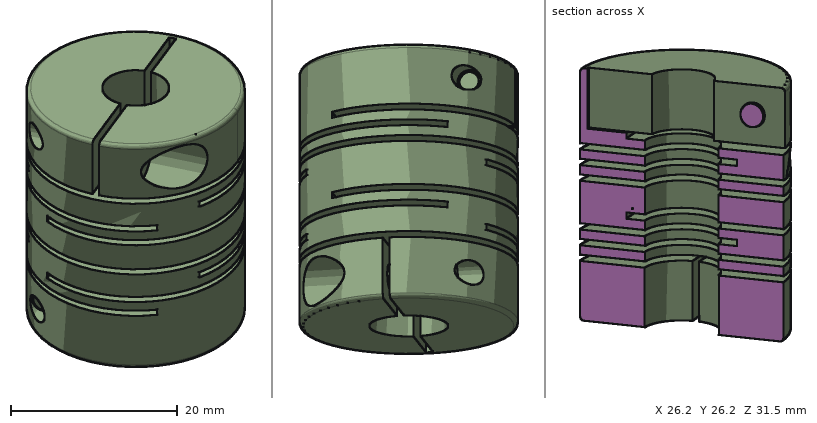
import cadquery as cq

length = 31.5
outer_diameter = 26.2
outer_radius = outer_diameter / 2
rim_fillet = 0.5

upper_bore_diameter = 8.0
lower_bore_diameter = 9.45

slit_width = 0.72
slit_reach = 7.1
inner_slit_spacing = 4.13
inner_slit_offset = inner_slit_spacing / 2
slit_pitch = 1.95
slits_per_half = 4
upper_slit_entries = ["+X", "-X", "+Y", "-Y"]
lower_slit_entries = ["-Y", "+Y", "+X", "-X"]

outer_slit_offset = inner_slit_offset + (slits_per_half - 1) * slit_pitch
hub_length = length / 2 - outer_slit_offset - slit_width / 2
upper_hub_base = length - hub_length
clamp_slot_width = 0.85
clamp_slot_end = 12.1

screw_offset = 9.0
screw_end_distance = 3.7
screw_z = length - screw_end_distance
screw_diameter = 3.0
head_bore_diameter = 5.9
head_bore_floor = 4.4
screw_tip_distance = 7.65
screw_tip_chamfer = 0.3

entry_turn = {"-Y": 0, "+X": 90, "+Y": 180, "-X": 270}


def turned(shape, degrees):
    return shape.rotate((0, 0, 0), (0, 0, 1), degrees)


def slot_from_minus_y(width, height, end, base_z):
    """Block entering from outside the -Y side and stopping at Y = end."""
    start = -length
    block = cq.Workplane("XY").box(width, end - start, height, centered=(True, False, False))
    return block.translate((0, start, base_z))


def flexing_slit(entry, centre_z):
    cutter = slot_from_minus_y(length, slit_width, slit_reach, centre_z - slit_width / 2)
    return turned(cutter, entry_turn[entry])


def rod_along_x(diameter, start, end, centre_z):
    """Cylinder on the screw axis, between two X positions on the -Y side."""
    profile = cq.Workplane("YZ", origin=(start, -screw_offset, centre_z)).circle(diameter / 2)
    return profile.extrude(end - start)


def to_lower_hub(shape):
    """Half turn about the horizontal X = Y line at mid-length."""
    return shape.rotate((0, 0, length / 2), (0.3, 0.3, length / 2), 180)


def clamp_cutters():
    """Slot open toward -Y, head bore and tip hole of the upper hub."""
    slot = slot_from_minus_y(clamp_slot_width, hub_length, clamp_slot_end, upper_hub_base)
    head_bore = rod_along_x(head_bore_diameter, head_bore_floor, outer_radius, screw_z)
    tip_hole = rod_along_x(screw_diameter, -outer_radius, head_bore_floor, screw_z)
    return [slot, head_bore, tip_hole]


def clamp_screw():
    screw = rod_along_x(screw_diameter, -screw_tip_distance, head_bore_floor, screw_z)
    return screw.faces("<X").chamfer(screw_tip_chamfer)


body = cq.Workplane("XY").circle(outer_radius).extrude(length)
body = body.faces("<Z or >Z").edges().fillet(rim_fillet)
body = body.cut(cq.Workplane("XY").circle(upper_bore_diameter / 2).extrude(length))
body = body.cut(cq.Workplane("XY").circle(lower_bore_diameter / 2).extrude(upper_hub_base))

for index in range(slits_per_half):
    offset = inner_slit_offset + index * slit_pitch
    body = body.cut(flexing_slit(upper_slit_entries[index], length / 2 + offset))
    body = body.cut(flexing_slit(lower_slit_entries[index], length / 2 - offset))

for cutter in clamp_cutters():
    body = body.cut(cutter).cut(to_lower_hub(cutter))
screw = clamp_screw()
body = body.union(screw).union(to_lower_hub(screw))

result = body